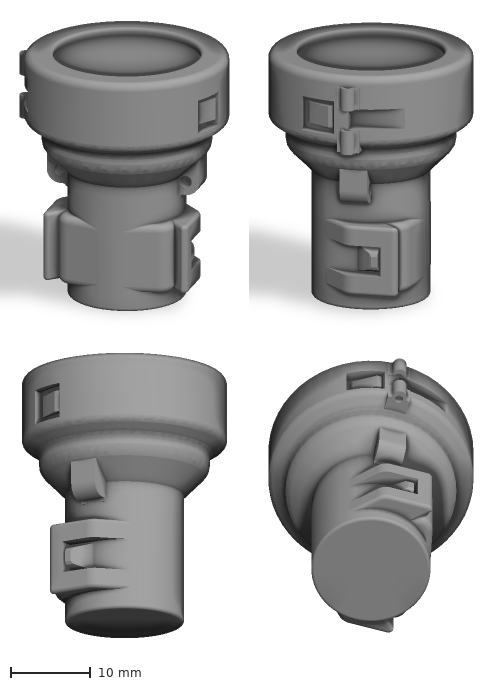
import cadquery as cq
import math

TOTAL_HEIGHT = 32.0
HEAD_RADIUS = 12.9
HEAD_TOP_ROUND = 1.0
HEAD_BASE_Z = 23.25
COLLAR_RADIUS = 10.75
COLLAR_TOP_Z = 21.85
NECK_ROUND = 1.0
PIPE_RADIUS = 7.5
SHOULDER_BASE_Z = 16.5
SHOULDER_TOP_Z = SHOULDER_BASE_Z + COLLAR_RADIUS - PIPE_RADIUS
SHOULDER_ROUND = 2.0
PIPE_END_ROUND = 0.4
RECESS_RADIUS = 9.3
RECESS_DEPTH = 1.0
RECESS_LIP_ROUND = 0.45

HINGE_TIP_X = -14.05
KNUCKLE_RADIUS = 0.87
KNUCKLE_ROOT_ROUND = 0.28
HINGE_PAD_X = -12.93
HINGE_PAD_WIDTH = 2.85
HINGE_PAD_INNER_X = -10.5
PIN_RADIUS = 0.5
PIN_X = -12.9
HINGE_BOTTOM_Z = 22.1
HINGE_SLOT_BOTTOM_Z = 25.1
HINGE_SLOT_TOP_Z = 27.8
HINGE_TOP_Z = 30.65
HINGE_SLOT_FLOOR_X = -10.9

WINDOW_FLOOR_RADIUS = 11.75
WINDOW_NEAR_Y = 1.82
WINDOW_NEAR_FLOOR_Y = 2.18
WINDOW_FAR_Y = 6.37
WINDOW_BOTTOM_Z = 24.2
WINDOW_TOP_Z = 28.65
WINDOW_HOOK_X = -12.4
WINDOW_HOOK_CREST_Y = 2.73
WINDOW_HOOK_TOE_X = -10.75
WINDOW_HOOK_TOE_Y = 5.45
WINDOW_HOOK_END_Y = 5.71

EAR_TIP = 10.0
EAR_WIDTH = 3.5
EAR_BOTTOM_Z = 14.35
EAR_CORNER_ROUND = 1.75
EAR_ROOT_ROUND = 0.35
EAR_HOLE_RADIUS = 0.77
EAR_HOLE_DEPTH = 1.75

GRIP_BOTTOM_Z = 2.45
GRIP_HEIGHT = 9.0
GRIP_MID_Z = GRIP_BOTTOM_Z + GRIP_HEIGHT / 2
WING_X = -9.5
WING_INNER_X = -4.0
WING_SIDE_Y = -5.48
WING_UNDERCUT = 3.0
WING_SIDE_ROUND = 0.7
WING_SLOPE_Y = 1.01
WING_SLOPE_ROUND = 2.05
WING_EDGE_ROUND = 0.48
WING_SLOT_HEIGHT = 4.0
WING_SLOT_END_Y = -3.42
PAD_INNER_X = 1.6
PAD_SIDE_X = 7.5
PAD_SIDE_ROUND = 2.0
PAD_EDGE_ROUND = 0.87

HOOK_BASE_X = -7.5
HOOK_BEVEL_X = -9.3
HOOK_END_Y = -2.95
HOOK_BASE_WIDTH = 3.55
HOOK_BEVEL_Y = -1.9
HOOK_BEVEL_WIDTH = 2.1
HOOK_CREST_Y = -2.18
HOOK_CREST_WIDTH = 1.35

CUT_MARGIN = 1.0


def box(x_range, y_range, z_range):
    """Axis-aligned box between the given limits."""
    size = [high - low for low, high in (x_range, y_range, z_range)]
    corner = (x_range[0], y_range[0], z_range[0])
    return cq.Workplane("XY").box(*size, centered=False).translate(corner)


def opposite(feature):
    """The same feature turned half a turn about the body axis."""
    return feature.rotate((0, 0, 0), (0, 0, 1), 180)


def round_ring(body, ring_radius, ring_z, round_radius):
    """Fillet the circular edge that has the given radius and height."""
    tolerance = 0.001
    rings = [
        edge
        for edge in body.edges("%CIRCLE").vals()
        if abs(edge.Center().z - ring_z) < tolerance
        and abs(edge.radius() - ring_radius) < tolerance
    ]
    return body.newObject(rings).fillet(round_radius)


def turned_body():
    floor_z = TOTAL_HEIGHT - RECESS_DEPTH
    body = (
        cq.Workplane("XZ")
        .polyline([
            (0, 0),
            (PIPE_RADIUS, 0),
            (PIPE_RADIUS, SHOULDER_BASE_Z),
            (COLLAR_RADIUS, SHOULDER_TOP_Z),
            (COLLAR_RADIUS, COLLAR_TOP_Z),
            (HEAD_RADIUS, HEAD_BASE_Z),
            (HEAD_RADIUS, TOTAL_HEIGHT),
            (RECESS_RADIUS, TOTAL_HEIGHT),
            (RECESS_RADIUS, floor_z),
            (0, floor_z),
        ])
        .close()
        .revolve(360, (0, 0, 0), (0, 1, 0))
    )
    body = round_ring(body, PIPE_RADIUS, 0, PIPE_END_ROUND)
    body = round_ring(body, COLLAR_RADIUS, SHOULDER_TOP_Z, SHOULDER_ROUND)
    body = round_ring(body, COLLAR_RADIUS, COLLAR_TOP_Z, NECK_ROUND)
    body = round_ring(body, HEAD_RADIUS, HEAD_BASE_Z, NECK_ROUND)
    body = round_ring(body, HEAD_RADIUS, TOTAL_HEIGHT, HEAD_TOP_ROUND)
    return round_ring(body, RECESS_RADIUS, TOTAL_HEIGHT, RECESS_LIP_ROUND)


def hinge_knuckle(bottom_z, top_z):
    """U-shaped knuckle standing on a flat pad, with small rounds at its root."""
    half_pad = HINGE_PAD_WIDTH / 2
    root_y = KNUCKLE_RADIUS + KNUCKLE_ROOT_ROUND
    root_x = HINGE_PAD_X - KNUCKLE_ROOT_ROUND
    barrel_x = HINGE_TIP_X + KNUCKLE_RADIUS
    round_mid = KNUCKLE_ROOT_ROUND * (1 - math.sqrt(0.5))
    return (
        cq.Workplane("XY", origin=(0, 0, bottom_z))
        .moveTo(HINGE_PAD_INNER_X, half_pad)
        .lineTo(HINGE_PAD_X, half_pad)
        .lineTo(HINGE_PAD_X, root_y)
        .threePointArc((HINGE_PAD_X - round_mid, KNUCKLE_RADIUS + round_mid), (root_x, KNUCKLE_RADIUS))
        .lineTo(barrel_x, KNUCKLE_RADIUS)
        .threePointArc((HINGE_TIP_X, 0), (barrel_x, -KNUCKLE_RADIUS))
        .lineTo(root_x, -KNUCKLE_RADIUS)
        .threePointArc((HINGE_PAD_X - round_mid, -KNUCKLE_RADIUS - round_mid), (HINGE_PAD_X, -root_y))
        .lineTo(HINGE_PAD_X, -half_pad)
        .lineTo(HINGE_PAD_INNER_X, -half_pad)
        .close()
        .extrude(top_z - bottom_z)
    )


def add_hinge(body):
    slot_edge_y = -math.sqrt(HEAD_RADIUS**2 - HINGE_SLOT_FLOOR_X**2) - CUT_MARGIN
    slot = box(
        (-HEAD_RADIUS - CUT_MARGIN, HINGE_SLOT_FLOOR_X),
        (slot_edge_y, 0),
        (HINGE_SLOT_BOTTOM_Z, HINGE_SLOT_TOP_Z),
    )
    body = body.cut(slot)
    knuckle_spans = [
        (HINGE_BOTTOM_Z, HINGE_SLOT_BOTTOM_Z),
        (HINGE_SLOT_TOP_Z, HINGE_TOP_Z),
    ]
    for bottom_z, top_z in knuckle_spans:
        pin_hole = (
            cq.Workplane("XY", origin=(PIN_X, 0, bottom_z))
            .circle(PIN_RADIUS)
            .extrude(top_z - bottom_z)
        )
        body = body.union(hinge_knuckle(bottom_z, top_z).cut(pin_hole))
    return body


def latch_window():
    """Pocket with a round floor and one leaning wall, on the -X side."""
    near_floor_x = -math.sqrt(WINDOW_FLOOR_RADIUS**2 - WINDOW_NEAR_FLOOR_Y**2)
    near_mouth_x = -math.sqrt(HEAD_RADIUS**2 - WINDOW_NEAR_Y**2)
    lean = (WINDOW_NEAR_FLOOR_Y - WINDOW_NEAR_Y) / (near_floor_x - near_mouth_x)
    outer_x = -HEAD_RADIUS - CUT_MARGIN
    inner_x = -math.sqrt(WINDOW_FLOOR_RADIUS**2 - WINDOW_FAR_Y**2) + CUT_MARGIN
    height = WINDOW_TOP_Z - WINDOW_BOTTOM_Z
    opening = (
        cq.Workplane("XY", origin=(0, 0, WINDOW_BOTTOM_Z))
        .polyline([
            (outer_x, WINDOW_NEAR_Y + lean * (outer_x - near_mouth_x)),
            (inner_x, WINDOW_NEAR_Y + lean * (inner_x - near_mouth_x)),
            (inner_x, WINDOW_FAR_Y),
            (outer_x, WINDOW_FAR_Y),
        ])
        .close()
        .extrude(height)
    )
    core = (
        cq.Workplane("XY", origin=(0, 0, WINDOW_BOTTOM_Z))
        .circle(WINDOW_FLOOR_RADIUS)
        .extrude(height)
    )
    return opening.cut(core)


def window_hook():
    """Ramped catch on the window floor, on the -X side."""
    root_x = -RECESS_RADIUS
    floor_x = -math.sqrt(WINDOW_FLOOR_RADIUS**2 - WINDOW_HOOK_END_Y**2)
    return (
        cq.Workplane("XY", origin=(0, 0, HINGE_SLOT_BOTTOM_Z))
        .polyline([
            (root_x, WINDOW_NEAR_FLOOR_Y),
            (WINDOW_HOOK_X, WINDOW_NEAR_FLOOR_Y),
            (WINDOW_HOOK_X, WINDOW_HOOK_CREST_Y),
            (WINDOW_HOOK_TOE_X, WINDOW_HOOK_TOE_Y),
            (floor_x, WINDOW_HOOK_END_Y),
            (root_x, WINDOW_HOOK_END_Y),
        ])
        .close()
        .extrude(HINGE_SLOT_TOP_Z - HINGE_SLOT_BOTTOM_Z)
    )


def ear():
    """Lug with a blind hole, on the +X side."""
    root_x = PIPE_RADIUS
    inner_x = PIPE_RADIUS - CUT_MARGIN
    top_z = SHOULDER_BASE_Z + EAR_TIP - PIPE_RADIUS
    hole_x = EAR_TIP - EAR_CORNER_ROUND
    hole_z = EAR_BOTTOM_Z + EAR_CORNER_ROUND
    corner_mid = EAR_CORNER_ROUND * math.sqrt(0.5)
    root_mid = EAR_ROOT_ROUND * (1 - math.sqrt(0.5))
    root_bottom_z = EAR_BOTTOM_Z - EAR_ROOT_ROUND
    lug = (
        cq.Workplane("XZ")
        .moveTo(inner_x, root_bottom_z)
        .lineTo(root_x, root_bottom_z)
        .threePointArc((root_x + root_mid, EAR_BOTTOM_Z - root_mid), (root_x + EAR_ROOT_ROUND, EAR_BOTTOM_Z))
        .lineTo(hole_x, EAR_BOTTOM_Z)
        .threePointArc((hole_x + corner_mid, hole_z - corner_mid), (EAR_TIP, hole_z))
        .lineTo(EAR_TIP, top_z)
        .lineTo(inner_x, top_z)
        .close()
        .extrude(EAR_WIDTH / 2, both=True)
    )
    hole = (
        cq.Workplane("XZ", origin=(hole_x, -EAR_WIDTH / 2, hole_z))
        .circle(EAR_HOLE_RADIUS)
        .extrude(-EAR_HOLE_DEPTH)
    )
    return lug.cut(hole)


def wing():
    """Flat-faced wing on the -X side: 45 degree flank, rounded undercut edge and a latch slot."""
    flank_end = (WING_SLOPE_Y - WING_X) / 2
    round_start_y = WING_SIDE_Y + WING_SIDE_ROUND
    tip_x = WING_X + WING_SIDE_ROUND
    round_mid = WING_SIDE_ROUND * (1 - math.sqrt(0.5))
    solid = (
        cq.Workplane("XY", origin=(0, 0, GRIP_BOTTOM_Z))
        .moveTo(WING_X, WING_SLOPE_Y)
        .lineTo(WING_X, round_start_y)
        .threePointArc((WING_X + round_mid, WING_SIDE_Y + round_mid), (tip_x, WING_SIDE_Y))
        .lineTo(tip_x + WING_UNDERCUT, WING_SIDE_Y + WING_UNDERCUT)
        .lineTo(WING_INNER_X, 0)
        .lineTo(-flank_end, flank_end)
        .close()
        .extrude(GRIP_HEIGHT)
    )
    solid = solid.faces("<X").edges("|Z and >Y").fillet(WING_SLOPE_ROUND)
    solid = solid.faces(">Z or <Z").edges().fillet(WING_EDGE_ROUND)
    half_slot = WING_SLOT_HEIGHT / 2
    slot = box(
        (WING_X - CUT_MARGIN, WING_INNER_X),
        (WING_SLOT_END_Y, flank_end + CUT_MARGIN),
        (GRIP_MID_Z - half_slot, GRIP_MID_Z + half_slot),
    )
    return solid.cut(slot)


def grip_pad():
    """Pad on the -Y side whose face runs off the pipe as a tangent, toward -X."""
    tangent_y = -math.sqrt(PIPE_RADIUS**2 - PAD_INNER_X**2)
    face_slope = PAD_INNER_X / -tangent_y
    corner_y = tangent_y + (PAD_SIDE_X - PAD_INNER_X) * face_slope
    solid = (
        cq.Workplane("XY", origin=(0, 0, GRIP_BOTTOM_Z))
        .polyline([
            (-PAD_INNER_X, tangent_y),
            (-PAD_SIDE_X, corner_y),
            (-PAD_SIDE_X, 0),
            (-PAD_INNER_X, 0),
        ])
        .close()
        .extrude(GRIP_HEIGHT)
    )
    solid = solid.faces("<X").edges("|Z and <Y").fillet(PAD_SIDE_ROUND)
    rim = solid.faces(">Z or <Z").edges()
    outer_edges = [
        edge for edge in rim.vals()
        if edge.Center().x < -PAD_INNER_X - PAD_EDGE_ROUND and edge.Center().y < -PAD_EDGE_ROUND
    ]
    return rim.newObject(outer_edges).fillet(PAD_EDGE_ROUND)


def hook_step(x_start, x_end, start_crest, end_crest):
    """Tapered block between two rectangles, each given as (ramp-side Y, height in Z)."""
    def outline(plane, crest):
        crest_y, width = crest
        return plane.center((crest_y + HOOK_END_Y) / 2, 0).rect(crest_y - HOOK_END_Y, width)

    start = cq.Workplane("YZ", origin=(x_start, 0, GRIP_MID_Z))
    end = cq.Workplane("YZ", origin=(x_end, 0, GRIP_MID_Z))
    wires = outline(start, start_crest).vals() + outline(end, end_crest).vals()
    return cq.Workplane(cq.Solid.makeLoft(wires, True))


def wing_hook():
    """Ramped catch with a bevelled crest, standing in the slot of the -X wing."""
    base = (0, HOOK_BASE_WIDTH)
    bevel = (HOOK_BEVEL_Y, HOOK_BEVEL_WIDTH)
    crest = (HOOK_CREST_Y, HOOK_CREST_WIDTH)
    root = hook_step(WING_INNER_X, HOOK_BASE_X, base, base)
    ramp = hook_step(HOOK_BASE_X, HOOK_BEVEL_X, base, bevel)
    tip = hook_step(HOOK_BEVEL_X, WING_X, bevel, crest)
    return root.union(ramp).union(tip)


def build_part():
    body = turned_body()
    body = add_hinge(body)
    window = latch_window()
    hook = window_hook()
    body = body.cut(window).cut(opposite(window))
    body = body.union(hook).union(opposite(hook))
    lug = ear()
    body = body.union(lug).union(lug.mirror("YZ"))
    side_wing = wing()
    body = body.union(side_wing).union(side_wing.mirror("YZ"))
    pad = grip_pad()
    body = body.union(pad).union(pad.mirror("YZ"))
    catch = wing_hook()
    return body.union(catch).union(catch.mirror("YZ"))


result = build_part()